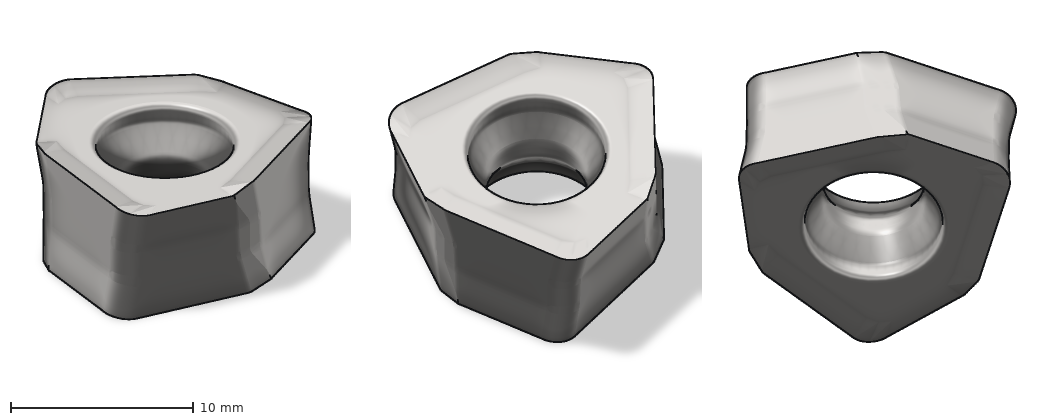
import cadquery as cq
import math

height = 7.0
half_height = height / 2
edge_drop = 0.26
flat_level = half_height - edge_drop
long_edge_distance = 6.5
short_edge_distance = 6.99
long_side_angle = -90
short_side_angle = -10
flip_angle = (long_side_angle + short_side_angle) / 2
repeat_angles = (0, 120, 240)

bend_level = 0.97
bend_half_height = 0.26
relief_angle = 1

facet_angle = -107
facet_edge_distance = 6.85
facet_waist_distance = 6.7
facet_flare_distance = 7.0

nose_radius = 1.45
blunt_radius = 0.92

rim_width = 1.4
rim_blunt_start = (-2.31, -2.31)
rim_nose_start = (4.39, 4.72)
rim_blunt_end = ((-3.25, -4.94), (-3.79, -5.94))
rim_nose_middle = ((5.08, -4.88), (5.62, -6.17))
rim_nose_end = ((5.53, -4.34), (6.15, -5.26))
rim_overshoot = 1.5

mouth_radius = 4.17
seat_radius = 3.79
lip_radius = mouth_radius - seat_radius
seat_depth = 1.02
bore_radius = 2.75
cone_angle = 31
cone_top_radius = 0.54
cone_bottom_radius = 1.08

large = 30.78


def tan(angle):
    return math.tan(math.radians(angle))


def polar(radius, angle):
    return (radius * math.cos(math.radians(angle)), radius * math.sin(math.radians(angle)))


def turned(shape, angle):
    return shape.rotate((0, 0, 0), (0, 0, 1), angle)


def flipped(shape):
    return shape.rotate((0, 0, 0), (*polar(1, flip_angle), 0), 180)


def on_line(start, end, level):
    """Point at the given level on the line through two profile points."""
    share = (level - start[1]) / (end[1] - start[1])
    return (start[0] + share * (end[0] - start[0]), level)


def flank_blank(top, bends, foot, angle):
    """Bar whose outer side follows (distance from axis, level) points with rounded bends."""
    profile = cq.Workplane("XZ").moveTo(-large, half_height).lineTo(*top)
    before = top
    for bend, after in zip(bends, bends[1:] + [foot]):
        profile = profile.lineTo(*on_line(before, bend, bend[1] + bend_half_height))
        blend_end = on_line(bend, after, bend[1] - bend_half_height)
        profile = profile.tangentArcPoint(blend_end, relative=False)
        before = bend
    profile = profile.lineTo(*on_line(before, foot, -half_height)).lineTo(-large, -half_height)
    return turned(profile.close().extrude(large, both=True), angle)


def steep_edges(body):
    """Edges near the part that run from end to end rather than along a bend or an end face."""
    return [
        edge
        for edge in body.edges().vals()
        if edge.BoundingBox().zlen > bend_half_height and edge.Center().Length < large / 2
    ]


def side_blank():
    """Long side with its rounded corners: a facet at the blunt end, a short side at the nose."""
    bend_distance = long_edge_distance + (half_height + bend_level) * tan(relief_angle)
    long_flank = flank_blank(
        (long_edge_distance, half_height),
        [(bend_distance, -bend_level)],
        (short_edge_distance, -flat_level),
        long_side_angle,
    )
    facet = flank_blank(
        (facet_edge_distance, half_height),
        [(facet_waist_distance, bend_level), (facet_waist_distance, -bend_level)],
        (facet_flare_distance, -flat_level),
        facet_angle,
    )
    blunt_corner = long_flank.intersect(facet)
    blank = blunt_corner.newObject(steep_edges(blunt_corner)).fillet(blunt_radius)
    nose_corner = long_flank.intersect(flipped(long_flank))
    return blank.intersect(nose_corner.newObject(steep_edges(nose_corner)).fillet(nose_radius))


def outer_body():
    blank = side_blank()
    body = blank
    for angle in repeat_angles:
        body = body.intersect(turned(blank, angle)).intersect(turned(flipped(blank), angle))
    return body


def half_space(a, b, c):
    """Block above the plane through three points."""
    a, b, c = cq.Vector(*a), cq.Vector(*b), cq.Vector(*c)
    normal = (b - a).cross(c - a)
    if normal.z < 0:
        normal = -normal
    return cq.Workplane(cq.Plane(a, b - a, normal)).rect(2 * large, 2 * large).extrude(large)


def overshot(inner, outer):
    """Plan point on the line from inner through outer, past the outline of the part."""
    return tuple(i + rim_overshoot * (o - i) for i, o in zip(inner, outer))


def rim_panel(first, second):
    """Piece of rim between two lines, each an inner and outer plan point and the outer level."""
    inner_a, outer_a, level_a = first
    inner_b, outer_b, level_b = second
    corners = [inner_a, overshot(inner_a, outer_a), overshot(inner_b, outer_b), inner_b]
    panel = cq.Workplane("XY", origin=(0, 0, flat_level)).polyline(corners).close()
    panel = panel.extrude(2 * edge_drop)
    foot_a, crest_a = (*inner_a, flat_level), (*outer_a, level_a)
    foot_b, crest_b = (*inner_b, flat_level), (*outer_b, level_b)
    return panel.cut(half_space(foot_a, crest_a, foot_b)).cut(half_space(crest_a, foot_b, crest_b))


def rim():
    """Rim rising outwards to the long edge and falling to the flat around both corners."""
    inner_y = rim_width - long_edge_distance
    blunt_start, nose_start = [
        ((inner_x, inner_y), (edge_x, -long_edge_distance), half_height)
        for inner_x, edge_x in (rim_blunt_start, rim_nose_start)
    ]
    nose_middle = (*rim_nose_middle, (flat_level + half_height) / 2)
    nose_end = (*rim_nose_end, flat_level)
    blunt_end = (*rim_blunt_end, flat_level)
    ridge = rim_panel(blunt_start, nose_start)
    for first, second in ((blunt_start, blunt_end), (nose_start, nose_middle), (nose_middle, nose_end)):
        ridge = ridge.union(rim_panel(first, second))
    return ridge


def end_recess():
    """Material above the flat of the upper end face, leaving the three rims."""
    recess = cq.Workplane("XY", origin=(0, 0, flat_level)).circle(large / 2).extrude(2 * edge_drop)
    ridge = rim()
    for angle in repeat_angles:
        recess = recess.cut(turned(ridge, angle))
    return recess


def bore():
    """Cutter for the stepped bore, mirrored about the middle."""
    cos, sin = polar(1, cone_angle)
    half_tan = tan(cone_angle / 2)
    seat_corner = flat_level - seat_depth
    bore_corner = seat_corner - (seat_radius - bore_radius) / tan(cone_angle)
    top_length = cone_top_radius * half_tan
    bottom_length = cone_bottom_radius * half_tan
    cone_bottom = (bore_radius + bottom_length * sin, bore_corner + bottom_length * cos)
    cone_top = (seat_radius - top_length * sin, seat_corner - top_length * cos)
    half_bore = (
        cq.Workplane("XZ")
        .lineTo(bore_radius, 0)
        .lineTo(bore_radius, bore_corner - bottom_length)
        .tangentArcPoint(cone_bottom, relative=False)
        .lineTo(*cone_top)
        .tangentArcPoint((seat_radius, seat_corner + top_length), relative=False)
        .lineTo(seat_radius, flat_level - lip_radius)
        .tangentArcPoint((mouth_radius, flat_level), relative=False)
        .lineTo(mouth_radius, half_height)
        .lineTo(0, half_height)
        .close()
        .revolve(360, (0, 0, 0), (0, 1, 0))
    )
    return half_bore.union(half_bore.mirror("XY"))


recess = end_recess()
result = outer_body().cut(recess).cut(flipped(recess)).cut(bore())